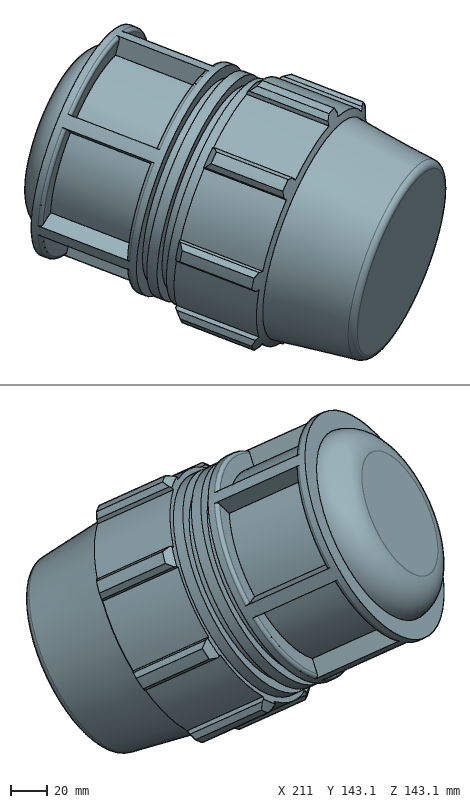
import cadquery as cq
import math

length = 211.0

barrel_radius = 57.0
dome_flat_radius = 37.3
dome_length = 16.9

flange_radius = 136.7 / 2
flange_width = 6.3
flange_round = 2.1
flange_gap = 52.1
web_count = 6
web_width = 8.0

neck_radius = 121.5 / 2
ring_radius = 134.0 / 2
ring_width = 6.3
groove_width = 5.7

nut_radius = 70.3
rib_count = 8
rib_width = 12.5
rib_top_width = 7.2
rib_shoulder_height = 72.5
rib_top_radius = 76.0
rib_lead_in = 4.2
rib_crest_length = 44.0
nut_end_taper = 4.0

skirt_start_radius = 65.8
skirt_end_radius = 58.9
skirt_round = 4.2

first_flange_start = dome_length
first_flange_end = first_flange_start + flange_width
second_flange_start = first_flange_end + flange_gap
second_flange_end = second_flange_start + flange_width
first_ring_start = second_flange_end + groove_width
second_ring_start = first_ring_start + ring_width + groove_width
nut_start = second_ring_start + ring_width
rib_crest_start = nut_start + rib_lead_in
rib_crest_end = rib_crest_start + rib_crest_length
nut_end = rib_crest_end + nut_end_taper


def disc(start, width, radius):
    """Solid cylinder on the X axis."""
    return cq.Workplane("YZ").workplane(offset=start).circle(radius).extrude(width)


def turn(profile):
    """Revolve a closed profile, drawn as (x, radius), about the X axis."""
    return profile.close().revolve(360, (0, 0, 0), (1, 0, 0))


def make_barrel():
    """Barrel with a dome whose arc leaves the flat end face tangentially."""
    rise = barrel_radius - dome_flat_radius
    dome_arc_radius = (dome_length**2 + rise**2) / (2 * dome_length)
    half_sweep = math.asin(rise / dome_arc_radius) / 2
    dome_middle = (
        dome_arc_radius * (1 - math.cos(half_sweep)),
        dome_flat_radius + dome_arc_radius * math.sin(half_sweep),
    )
    profile = (
        cq.Workplane("XY")
        .lineTo(0, dome_flat_radius)
        .threePointArc(dome_middle, (dome_length, barrel_radius))
        .lineTo(second_flange_end, barrel_radius)
        .lineTo(second_flange_end, 0)
    )
    return turn(profile)


def make_flanges():
    """Two flanges with rounded facing edges, and the webs between them."""
    first = disc(first_flange_start, flange_width, flange_radius).faces(">X").edges().fillet(flange_round)
    second = disc(second_flange_start, flange_width, flange_radius).faces("<X").edges().fillet(flange_round)
    span = second_flange_end - first_flange_start
    webs = cq.Workplane("XY")
    for index in range(web_count // 2):
        bar = cq.Workplane("XY").box(span, 2 * flange_radius, web_width)
        bar = bar.translate((first_flange_start + span / 2, 0, 0))
        webs = webs.union(bar.rotate((0, 0, 0), (1, 0, 0), index * 360 / web_count))
    webs = webs.intersect(disc(first_flange_start, span, flange_radius))
    return first.union(second).union(webs)


def make_neck():
    neck = disc(second_flange_end, nut_start - second_flange_end, neck_radius)
    for start in (first_ring_start, second_ring_start):
        neck = neck.union(disc(start, ring_width, ring_radius))
    return neck


def make_nut():
    """Nut with bevelled grip ribs, trimmed at both ends by one turned envelope."""
    nut_width = nut_end - nut_start
    section = [
        (-rib_width / 2, 0),
        (-rib_width / 2, rib_shoulder_height),
        (-rib_top_width / 2, rib_top_radius),
        (rib_top_width / 2, rib_top_radius),
        (rib_width / 2, rib_shoulder_height),
        (rib_width / 2, 0),
    ]
    rib = cq.Workplane("YZ").workplane(offset=nut_start).polyline(section).close().extrude(nut_width)
    nut = disc(nut_start, nut_width, nut_radius)
    pitch = 360 / rib_count
    for index in range(rib_count):
        nut = nut.union(rib.rotate((0, 0, 0), (1, 0, 0), (index + 0.5) * pitch))
    envelope = (
        cq.Workplane("XY")
        .moveTo(nut_start, 0)
        .lineTo(nut_start, rib_top_radius - rib_lead_in)
        .lineTo(rib_crest_start, rib_top_radius)
        .lineTo(rib_crest_end, rib_top_radius)
        .lineTo(nut_end, skirt_start_radius)
        .lineTo(nut_end, 0)
    )
    return nut.intersect(turn(envelope))


def make_skirt():
    """Tapered skirt with a rounded far edge."""
    profile = (
        cq.Workplane("XY")
        .moveTo(nut_end, 0)
        .lineTo(nut_end, skirt_start_radius)
        .lineTo(length, skirt_end_radius)
        .lineTo(length, 0)
    )
    return turn(profile).faces(">X").edges().fillet(skirt_round)


result = make_barrel()
for portion in (make_flanges(), make_neck(), make_nut(), make_skirt()):
    result = result.union(portion)